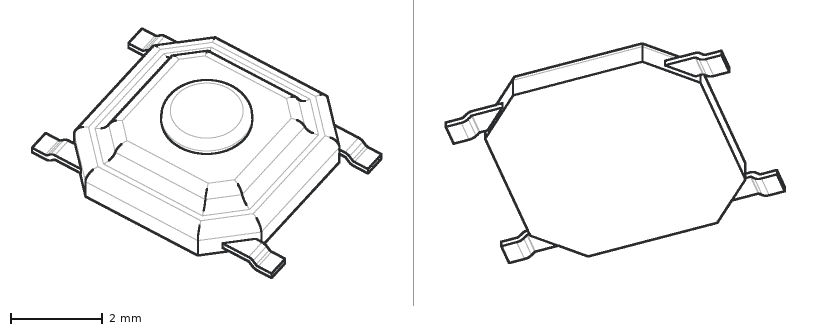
import cadquery as cq
import math

body_width = 5.0
corner_cut = 1.0
wall_height = 0.5
edge_radius = 0.3
ledge_height = wall_height + edge_radius
cover_height = 1.2
cover_inset = 1.0

button_diameter = 2.0
button_top = 1.5
button_edge_radius = 0.2

lead_span = 6.4
lead_width = 0.525
lead_offset = 1.85
lead_thickness = 0.15
lead_rise = 0.15
lead_foot_length = 0.36
lead_bend_angle = 45
foot_bend_inner_radius = 0.08
upper_bend_inner_radius = 0.02
lead_embedded_end = 1.5

half_width = body_width / 2
half_diagonal = (body_width - corner_cut) / math.sqrt(2)


def arc_point(center_x, center_z, radius, degrees):
    """Point on a circle, at an angle measured from the horizontal."""
    angle = math.radians(degrees)
    return (center_x + radius * math.cos(angle), center_z + radius * math.sin(angle))


def housing_prism(half_span, direction):
    """Long bar with the housing's cross-section, turned by direction degrees about Z."""
    half_drop = (cover_height - ledge_height) / 2
    sweep = math.degrees(math.acos(1 - half_drop / edge_radius))
    half_run = edge_radius * math.sin(math.radians(sweep))
    rim = half_span - cover_inset
    ledge_inner = rim + 2 * half_run
    ledge_outer = half_span - edge_radius
    middle = (rim + half_run, ledge_height + half_drop)

    upper_mid = arc_point(rim, cover_height - edge_radius, edge_radius, 90 - sweep / 2)
    lower_mid = arc_point(ledge_inner, ledge_height + edge_radius, edge_radius, 270 - sweep / 2)
    edge_mid = arc_point(ledge_outer, wall_height, edge_radius, 45)

    half_profile = (
        cq.Workplane("XZ")
        .moveTo(0, 0)
        .lineTo(half_span, 0)
        .lineTo(half_span, wall_height)
        .threePointArc(edge_mid, (ledge_outer, ledge_height))
        .lineTo(ledge_inner, ledge_height)
        .threePointArc(lower_mid, middle)
        .threePointArc(upper_mid, (rim, cover_height))
        .lineTo(0, cover_height)
    )
    bar = half_profile.mirrorY().extrude(body_width, both=True)
    return bar.rotate((0, 0, 0), (0, 0, 1), direction)


def make_housing():
    """Common volume of four bars, so every octagon side has the same mitred profile."""
    housing = housing_prism(half_width, 0)
    housing = housing.intersect(housing_prism(half_width, 90))
    for direction in (45, 135):
        housing = housing.intersect(housing_prism(half_diagonal, direction))
    return housing


def make_button():
    """Round button with a rounded rim, rooted inside the housing."""
    height = button_top - ledge_height
    base = cq.Workplane("XY").workplane(offset=ledge_height)
    button = base.circle(button_diameter / 2).extrude(height)
    return button.faces(">Z").edges().fillet(button_edge_radius)


def make_lead():
    """Gull-wing lead at the +X +Y corner: a foot, a slope between two bends, and a flat upper part."""
    tip = lead_span / 2
    foot_inner = foot_bend_inner_radius
    foot_outer = foot_inner + lead_thickness
    upper_inner = upper_bend_inner_radius
    upper_outer = upper_inner + lead_thickness
    angle = math.radians(lead_bend_angle)
    bend_run = (foot_inner + upper_outer) * math.tan(angle / 2) + lead_rise / math.tan(angle)

    foot_x = tip - lead_foot_length
    foot_z = lead_thickness + foot_inner
    upper_x = foot_x - bend_run
    upper_z = lead_rise - upper_inner

    def foot_arc(radius):
        """Middle and slope end of a foot bend arc."""
        angles = (270 - lead_bend_angle / 2, 270 - lead_bend_angle)
        return [arc_point(foot_x, foot_z, radius, degrees) for degrees in angles]

    def upper_arc(radius):
        """Middle and slope end of an upper bend arc."""
        angles = (90 - lead_bend_angle / 2, 90 - lead_bend_angle)
        return [arc_point(upper_x, upper_z, radius, degrees) for degrees in angles]

    foot_top_mid, foot_top_end = foot_arc(foot_inner)
    foot_bottom_mid, foot_bottom_end = foot_arc(foot_outer)
    upper_top_mid, upper_top_end = upper_arc(upper_outer)
    upper_bottom_mid, upper_bottom_end = upper_arc(upper_inner)
    upper_top_z = lead_rise + lead_thickness

    profile = (
        cq.Workplane("XZ")
        .moveTo(tip, 0)
        .lineTo(tip, lead_thickness)
        .lineTo(foot_x, lead_thickness)
        .threePointArc(foot_top_mid, foot_top_end)
        .lineTo(*upper_top_end)
        .threePointArc(upper_top_mid, (upper_x, upper_top_z))
        .lineTo(lead_embedded_end, upper_top_z)
        .lineTo(lead_embedded_end, lead_rise)
        .lineTo(upper_x, lead_rise)
        .threePointArc(upper_bottom_mid, upper_bottom_end)
        .lineTo(*foot_bottom_end)
        .threePointArc(foot_bottom_mid, (foot_x, 0))
        .close()
    )
    return profile.extrude(lead_width / 2, both=True).translate((0, lead_offset, 0))


def add_leads(housing):
    """Join one lead at each of the four cut corners."""
    back_right = make_lead()
    back_left = back_right.mirror("YZ")
    for lead in (back_right, back_left):
        housing = housing.union(lead).union(lead.mirror("XZ"))
    return housing


result = add_leads(make_housing().union(make_button()))